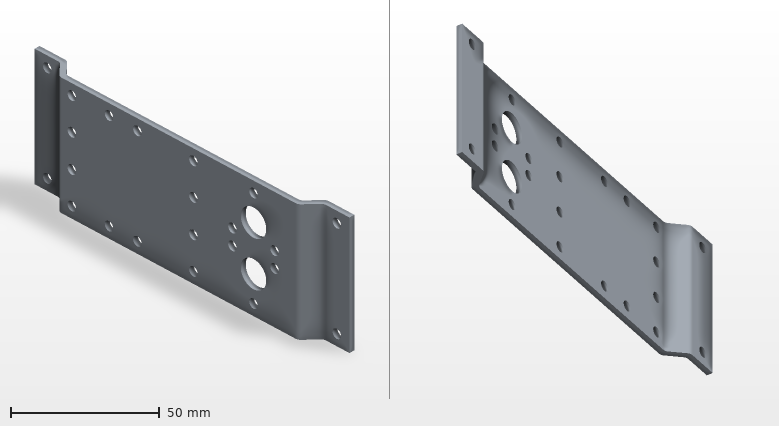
import cadquery as cq
import math

length = 149.0
depth = 8.8
height = 54.1
thickness = 2.4
bend_angle = 47.0
bend_radius = 2.4

panel_half_width = 56.5

small_diameter = 4.0
large_diameter = 12.0
edge_row_z = 22.0
edge_row_x = [-68.5, -50.5, -33.0, -19.5, 7.0, 35.5, 68.5]
inner_row_z = 7.5
inner_row_x = [-50.5, 7.0]
large_hole_x = 35.5
large_hole_z = 10.3
cluster_spacing_x = 20.0
cluster_z = 3.6

front_y = -depth / 2
back_y = depth / 2
offset = depth - thickness

web_run = offset / math.tan(math.radians(bend_angle))
back_shift = thickness * math.tan(math.radians(bend_angle / 2))
front_flange_x = panel_half_width + web_run
back_panel_x = panel_half_width - back_shift
back_flange_x = front_flange_x - back_shift


def bent_plate():
    """Constant-thickness profile extruded along Z, with every bend rounded."""
    right_side = [
        (panel_half_width, front_y),
        (front_flange_x, front_y + offset),
        (length / 2, back_y - thickness),
        (length / 2, back_y),
        (back_flange_x, back_y),
        (back_panel_x, front_y + thickness),
    ]
    left_side = [(-x, y) for x, y in reversed(right_side)]
    plate = (
        cq.Workplane("XY")
        .polyline(right_side + left_side)
        .close()
        .extrude(height / 2, both=True)
    )
    bend_zone = cq.selectors.BoxSelector(
        (-front_flange_x - thickness, -depth, -height),
        (front_flange_x + thickness, depth, height),
    )
    return plate.edges("|Z").edges(bend_zone).fillet(bend_radius)


def through_holes(points, diameter):
    """Cylinders along Y, long enough to pass through the whole plate."""
    return (
        cq.Workplane("XZ")
        .pushPoints(points)
        .circle(diameter / 2)
        .extrude(depth, both=True)
    )


def mirrored_rows(x_positions, z):
    """Points in two rows, one above and one below the centre."""
    return [(x, side * z) for x in x_positions for side in (-1, 1)]


cluster_x = [large_hole_x + side * cluster_spacing_x / 2 for side in (-1, 1)]
small_points = (
    mirrored_rows(edge_row_x, edge_row_z)
    + mirrored_rows(inner_row_x, inner_row_z)
    + mirrored_rows(cluster_x, cluster_z)
)
large_points = mirrored_rows([large_hole_x], large_hole_z)

result = (
    bent_plate()
    .cut(through_holes(small_points, small_diameter))
    .cut(through_holes(large_points, large_diameter))
)